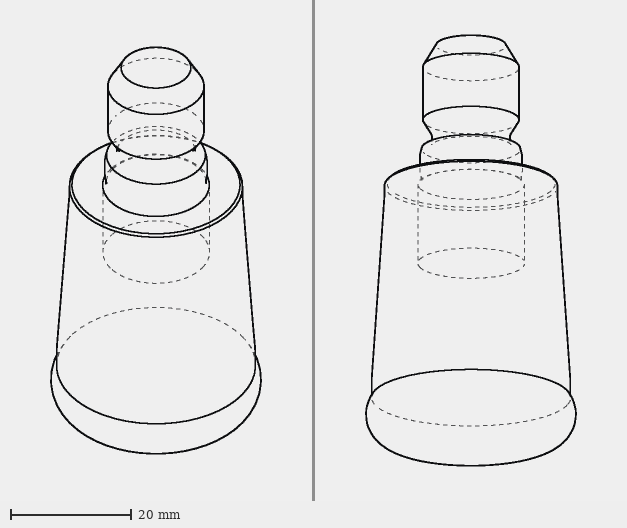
import cadquery as cq
import math

foot_height = 45.05
bulge_radius = 17.45
bulge_round = 5.05
skirt_radius = 33.05 / 2
skirt_top_height = 10.9
shoulder_radius = 28.8 / 2
shoulder_bottom_height = 42.9
shoulder_chamfer = 0.4
countersink_radius = 9.7
countersink_depth = 0.15

stud_height = 69.0
tip_radius = 5.8
head_radius = 16.0 / 2
head_top_height = 65.2
head_bottom_height = 56.0
neck_radius = 13.0 / 2
neck_top_height = 53.2
neck_bottom_height = 52.1
neck_fillet = 1.05
head_taper_end_radius = 6.6
head_taper_end_height = 53.75
collar_radius = 17.0 / 2
collar_top_height = neck_bottom_height - neck_fillet
collar_top_chamfer_height = 1.1
collar_top_inset = 0.3
collar_bottom_height = 47.1
base_radius = 16.6 / 2
base_top_height = 46.3
base_fillet = 0.55
seat_radius = base_radius + base_fillet
seat_height = foot_height - countersink_depth

seat_depth = 13.8
seat_floor_height = foot_height - seat_depth

diagonal = math.sqrt(0.5)


def revolve_profile(profile):
    """Revolve a closed half-profile, drawn as (radius, height), about the Z axis."""
    return profile.close().revolve(360, (0, 0, 0), (0, 1, 0))


def make_foot():
    """Tapered body with a bulged bottom rim and a countersunk blind seat."""
    rim_top_height = foot_height - shoulder_chamfer
    rim_top_radius = shoulder_radius - shoulder_chamfer
    bulge_centre_radius = bulge_radius - bulge_round
    skirt_reach = skirt_radius - bulge_centre_radius
    bulge_top_height = bulge_round + math.sqrt(bulge_round**2 - skirt_reach**2)
    profile = (
        cq.Workplane("XZ")
        .moveTo(0, 0)
        .lineTo(bulge_centre_radius, 0)
        .threePointArc((bulge_radius, bulge_round), (skirt_radius, bulge_top_height))
        .lineTo(skirt_radius, skirt_top_height)
        .lineTo(shoulder_radius, shoulder_bottom_height)
        .lineTo(shoulder_radius, rim_top_height)
        .lineTo(rim_top_radius, foot_height)
        .lineTo(countersink_radius, foot_height)
        .lineTo(seat_radius, seat_height)
        .lineTo(seat_radius, seat_floor_height)
        .lineTo(0, seat_floor_height)
    )
    return revolve_profile(profile)


def make_stud():
    """Turned stud with a tapered head, a neck, a collar and a shank that fills the seat."""
    base_arc_middle = (
        seat_radius - base_fillet * diagonal,
        seat_height + base_fillet * (1 - diagonal),
    )
    neck_arc_middle = (
        neck_radius + neck_fillet * (1 - diagonal),
        neck_bottom_height - neck_fillet * diagonal,
    )
    profile = (
        cq.Workplane("XZ")
        .moveTo(0, seat_floor_height)
        .lineTo(seat_radius, seat_floor_height)
        .lineTo(seat_radius, seat_height)
        .threePointArc(base_arc_middle, (base_radius, seat_height + base_fillet))
        .lineTo(base_radius, base_top_height)
        .lineTo(collar_radius, collar_bottom_height)
        .lineTo(collar_radius, collar_top_height - collar_top_chamfer_height)
        .lineTo(collar_radius - collar_top_inset, collar_top_height)
        .lineTo(neck_radius + neck_fillet, collar_top_height)
        .threePointArc(neck_arc_middle, (neck_radius, neck_bottom_height))
        .lineTo(neck_radius, neck_top_height)
        .lineTo(head_taper_end_radius, head_taper_end_height)
        .lineTo(head_radius, head_bottom_height)
        .lineTo(head_radius, head_top_height)
        .lineTo(tip_radius, stud_height)
        .lineTo(0, stud_height)
    )
    return revolve_profile(profile)


foot = make_foot()
stud = make_stud()

result = cq.Compound.makeCompound([foot.val(), stud.val()])